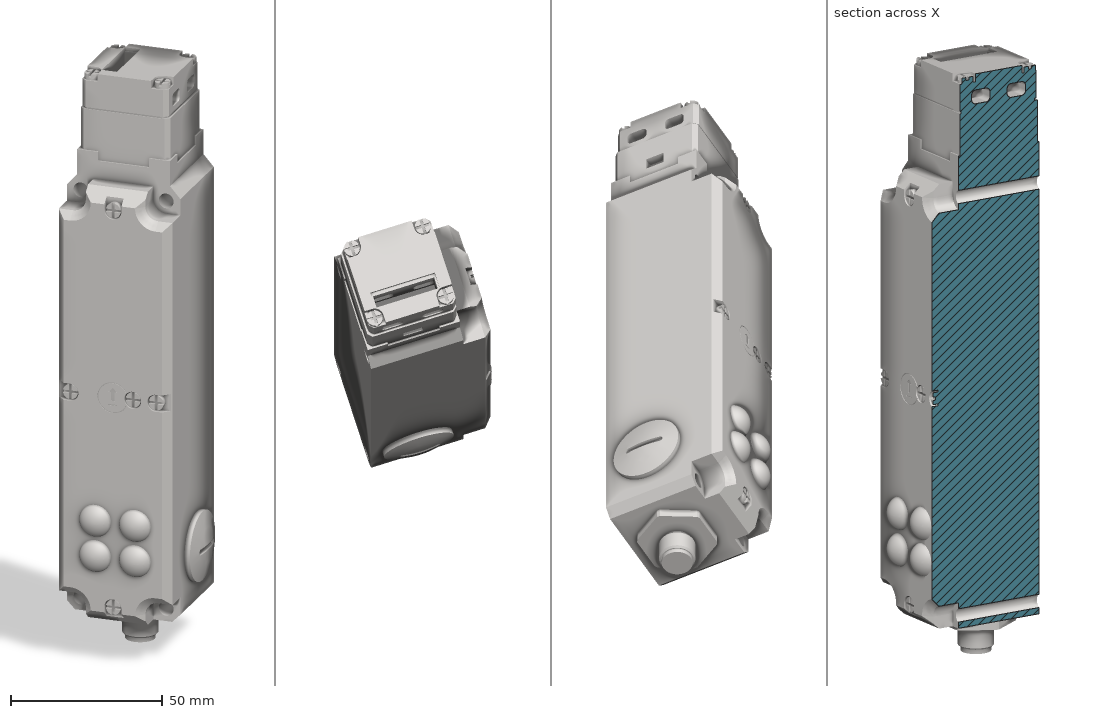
import cadquery as cq
import math


body_half_width = 20.0
body_half_depth = 16.0
collar_half_width = 16.35
collar_top = 162.6
shoulder_top = 153.8
shoulder_bottom = 149.7
bottom_chamfer = 2.9

cover_top = 152.9
cover_face_y = -26.3
cover_chamfer = 2.7
end_slope_depth = 5.0
end_slope_height = 4.4

mount_x = 15.0
mount_inset = 4.5
mount_hole_diameter = 5.2
mount_clearance = 4.5
mount_zs = (mount_inset, cover_top - mount_inset)

head_top = 189.8
head_split = 177.0
head_front_y = -15.4
lower_head_half_width = 15.7
lower_head_back_y = 15.5
upper_head_half_width = 15.15
upper_head_back_y = 14.85
head_corner_chamfer = 1.45
split_groove_height = 0.6
split_groove_depth = 0.3
notch_half_width = 9.0
notch_bottom = 159.4

key_slot_left = -9.4
key_slot_width = 4.2
key_slot_length = 21.2
key_slot_depth = 12.0
key_slot_lead_in = 1.2
window_y = 7.0
window_z = 181.8
window_width = 7.1
window_height = 4.6
window_corner_radius = 1.5
latch_z = 165.9
latch_width = 6.6
latch_height = 4.4
latch_depth = 3.0

screw_head_radius = 2.6
screw_recess_radius = 3.0
cover_screw_depth = 2.3
head_screw_depth = 2.7
screw_head_height = 2.0
screw_slot_width = 1.0
screw_slot_depth = 1.0
head_screw_x = 12.4
head_screw_y = 12.3
cover_end_screw_inset = 6.4
cover_mid_screw_z = 80.6
cover_side_screw_x = 15.1
lock_screw_x = 7.0
head_screw_notch_reach = 4.0
cover_screw_notch_reach = body_half_width - cover_side_screw_x

dial_radius = 5.4
dial_line_width = 0.3
dial_depth = 0.2
arrow_tip = 3.4
arrow_head_base = 1.9
arrow_head_half_width = 1.5
arrow_stem_half_width = 0.65
arrow_stem_foot = -1.2
arrow_bar_z = -2.6
arrow_bar_width = 0.4

lamp_radius = 5.6
lamp_height = 3.66
lamp_foot = 1.0
lamp_xs = (-6.2, 7.8)
lamp_zs = (23.9, 36.35)

plug_z = 21.8
plug_radius = 12.1
plug_rim = 1.9
plug_height = 4.0
plug_slot_length = 13.8
plug_slot_width = 2.0
plug_slot_depth = 1.5

hex_corner_diameter = 27.0
hex_height = 3.1
hex_rounding_diameter = 26.4
neck_radius = 5.1
nut_top = -4.2
nut_bottom = -11.6
nut_radius = 6.05
nut_chamfer = 0.6
connector_bottom = -13.2


def block(x_range, y_range, z_range):
    """Box given by its limits along each axis."""
    (x0, x1), (y0, y1), (z0, z1) = x_range, y_range, z_range
    return cq.Workplane("XY").box(x1 - x0, y1 - y0, z1 - z0, centered=False).translate((x0, y0, z0))


def front_plane(y):
    """Plane facing -Y at the given Y, with local axes X and Z."""
    return cq.Workplane("XZ", origin=(0, y, 0))


def make_housing():
    points = [
        (body_half_width - bottom_chamfer, 0),
        (body_half_width, bottom_chamfer),
        (body_half_width, shoulder_bottom),
        (collar_half_width, shoulder_top),
        (collar_half_width, collar_top),
    ]
    mirrored = [(-x, z) for x, z in reversed(points)]
    housing = front_plane(body_half_depth).polyline(points + mirrored).close().extrude(2 * body_half_depth)

    notch_z = (notch_bottom, collar_top)
    notch_span = (-notch_half_width, notch_half_width)
    across_x = block((-body_half_width, body_half_width), notch_span, notch_z)
    across_y = block(notch_span, (-body_half_depth, body_half_depth), notch_z)
    return housing.cut(across_x).cut(across_y)


def make_cover():
    base_y = -body_half_depth
    thickness = base_y - cover_face_y
    outline = front_plane(base_y).rect(2 * body_half_width, cover_top, centered=(True, False))
    cover = outline.extrude(thickness)

    for z, end in zip(mount_zs, (-1, 1)):
        for side in (-1, 1):
            reach = 2 * mount_clearance
            x = side * mount_x
            clearance = (
                front_plane(base_y)
                .center(x, z)
                .circle(mount_clearance)
                .extrude(thickness)
            )
            sideways = (
                front_plane(base_y)
                .center(x + side * reach / 2, z)
                .rect(reach, 2 * mount_clearance)
                .extrude(thickness)
            )
            endways = (
                front_plane(base_y)
                .center(x + side * (reach - mount_clearance) / 2, z + end * reach / 2)
                .rect(reach + mount_clearance, reach)
                .extrude(thickness)
            )
            cover = cover.cut(clearance.union(sideways).union(endways))
    cover = cover.faces("<Y").edges().chamfer(cover_chamfer)

    slope_start_y = cover_face_y + end_slope_depth
    for end_z, inward in ((0, 1), (cover_top, -1)):
        wedge = (
            cq.Workplane("YZ", origin=(-body_half_width, 0, 0))
            .moveTo(slope_start_y, end_z)
            .lineTo(cover_face_y, end_z + inward * end_slope_height)
            .lineTo(cover_face_y, end_z)
            .close()
            .extrude(2 * body_half_width)
        )
        cover = cover.cut(wedge)
    return cover


def make_head():
    lower = block(
        (-lower_head_half_width, lower_head_half_width),
        (head_front_y, lower_head_back_y),
        (notch_bottom, head_split),
    )
    upper = block(
        (-upper_head_half_width, upper_head_half_width),
        (head_front_y, upper_head_back_y),
        (head_split, head_top),
    )
    lower = lower.edges("|Z").chamfer(head_corner_chamfer)
    upper = upper.edges("|Z").chamfer(head_corner_chamfer)

    joint = block(
        (-body_half_width, body_half_width),
        (-body_half_depth, body_half_depth),
        (head_split, head_split + split_groove_height),
    )
    core = block(
        (split_groove_depth - upper_head_half_width, upper_head_half_width - split_groove_depth),
        (head_front_y + split_groove_depth, upper_head_back_y - split_groove_depth),
        (head_split, head_split + split_groove_height),
    )
    core = core.edges("|Z").chamfer(head_corner_chamfer)
    upper = upper.cut(joint.cut(core))
    return lower.union(upper)


def cut_head_openings(part):
    key_slot = block(
        (key_slot_left, key_slot_left + key_slot_width),
        (-key_slot_length / 2, key_slot_length / 2),
        (head_top - key_slot_depth, head_top),
    )
    lead_in = (
        cq.Workplane("XY", origin=(0, 0, head_top))
        .center(key_slot_left + (key_slot_width + key_slot_lead_in) / 2, 0)
        .rect(key_slot_width + key_slot_lead_in, key_slot_length + key_slot_lead_in)
        .extrude(-key_slot_lead_in)
    )
    windows = (
        cq.Workplane("YZ", origin=(-body_half_width, 0, 0))
        .pushPoints([(-window_y, window_z), (window_y, window_z)])
        .rect(window_width, window_height)
        .extrude(2 * body_half_width)
        .edges("|X")
        .fillet(window_corner_radius)
    )
    latch_pocket = block(
        (-lower_head_half_width, latch_depth - lower_head_half_width),
        (-latch_width / 2, latch_width / 2),
        (latch_z - latch_height / 2, latch_z + latch_height / 2),
    )
    return part.cut(key_slot).cut(lead_in).cut(windows).cut(latch_pocket)


def add_screw(part, plane, depth, open_directions, reach):
    """Sink a cross-slotted screw at the plane's origin, with the recess opened along local directions."""
    floor = plane.workplane(offset=-depth)
    recess = floor.circle(screw_recess_radius).extrude(depth)
    for along, across in open_directions:
        width = reach if along else 2 * screw_recess_radius
        height = reach if across else 2 * screw_recess_radius
        opening = floor.center(along * reach / 2, across * reach / 2).rect(width, height)
        recess = recess.union(opening.extrude(depth))
    head = floor.circle(screw_head_radius).extrude(screw_head_height)
    slot_floor = plane.workplane(offset=screw_head_height - depth - screw_slot_depth)
    slot_length = 2 * screw_head_radius
    for width, height in ((slot_length, screw_slot_width), (screw_slot_width, slot_length)):
        head = head.cut(slot_floor.rect(width, height).extrude(screw_slot_depth))
    return part.cut(recess).union(head)


def add_head_screws(part):
    for side_x in (-1, 1):
        for side_y in (-1, 1):
            plane = cq.Workplane("XY", origin=(side_x * head_screw_x, side_y * head_screw_y, head_top))
            openings = ((side_x, 0), (0, side_y))
            part = add_screw(part, plane, head_screw_depth, openings, head_screw_notch_reach)
    return part


def add_cover_screws(part):
    screws = (
        (0, cover_end_screw_inset, ((0, -1),)),
        (0, cover_top - cover_end_screw_inset, ((0, 1),)),
        (-cover_side_screw_x, cover_mid_screw_z, ((-1, 0),)),
        (cover_side_screw_x, cover_mid_screw_z, ((1, 0),)),
        (lock_screw_x, cover_mid_screw_z, ()),
    )
    for x, z, openings in screws:
        plane = cq.Workplane("XZ", origin=(x, cover_face_y, z))
        part = add_screw(part, plane, cover_screw_depth, openings, cover_screw_notch_reach)
    return part


def cut_dial(part):
    """Engrave the dial ring with its arrow and foot bar."""
    dial_plane = front_plane(cover_face_y).center(0, cover_mid_screw_z)
    ring = dial_plane.circle(dial_radius).circle(dial_radius - dial_line_width).extrude(-dial_depth)
    arrow_half = [
        (arrow_stem_half_width, arrow_stem_foot),
        (arrow_stem_half_width, arrow_head_base),
        (arrow_head_half_width, arrow_head_base),
    ]
    arrow_points = arrow_half + [(0, arrow_tip)] + [(-x, z) for x, z in reversed(arrow_half)]
    arrow = dial_plane.polyline(arrow_points).close().extrude(-dial_depth)
    bar = dial_plane.center(0, arrow_bar_z).rect(2 * arrow_head_half_width, arrow_bar_width)
    return part.cut(ring).cut(arrow).cut(bar.extrude(-dial_depth))


def make_button(radius, rim, height):
    """Round button along +Z: a straight rim under a spherical cap."""
    dome_height = height - rim
    dome_radius = (radius ** 2 + dome_height ** 2) / (2 * dome_height)
    mid_radius = radius / 2
    mid_height = height - dome_radius + math.sqrt(dome_radius ** 2 - mid_radius ** 2)
    profile = (
        cq.Workplane("XZ")
        .lineTo(radius, 0)
        .lineTo(radius, rim)
        .threePointArc((mid_radius, mid_height), (0, height))
        .close()
    )
    return profile.revolve(360, (0, 0, 0), (0, 1, 0))


def make_lamp(x, z):
    """Domed lamp on the cover face, its foot sunk into the cover."""
    lamp = make_button(lamp_radius, lamp_foot, lamp_height + lamp_foot)
    lamp = lamp.rotate((0, 0, 0), (1, 0, 0), 90)
    return lamp.translate((x, cover_face_y + lamp_foot, z))


def make_plug(side):
    """Domed blanking plug with a screwdriver slot on one side wall."""
    plug = make_button(plug_radius, plug_rim, plug_height)
    plug = plug.rotate((0, 0, 0), (0, 1, 0), 90)
    slot = (
        cq.Workplane("YZ", origin=(plug_height - plug_slot_depth, 0, 0))
        .slot2D(plug_slot_length, plug_slot_width)
        .extrude(plug_slot_depth)
    )
    plug = plug.cut(slot)
    if side < 0:
        plug = plug.mirror("YZ")
    return plug.translate((side * body_half_width, 0, plug_z))


def make_connector():
    hex_flange = cq.Workplane("XY").polygon(6, hex_corner_diameter).extrude(-hex_height)
    corner_rounding = cq.Workplane("XY").circle(hex_rounding_diameter / 2).extrude(-hex_height)
    hex_flange = hex_flange.intersect(corner_rounding)
    neck = cq.Workplane("XY").circle(neck_radius).extrude(connector_bottom)
    nut = (
        cq.Workplane("XY", origin=(0, 0, nut_bottom))
        .circle(nut_radius)
        .extrude(nut_top - nut_bottom)
        .edges()
        .chamfer(nut_chamfer)
    )
    return hex_flange.union(neck).union(nut)


def cut_mounting_holes(part):
    points = [(side * mount_x, z) for side in (-1, 1) for z in mount_zs]
    holes = (
        front_plane(body_half_depth)
        .pushPoints(points)
        .circle(mount_hole_diameter / 2)
        .extrude(2 * body_half_depth)
    )
    return part.cut(holes)


result = make_housing().union(make_cover()).union(make_head())
result = cut_head_openings(result)
result = add_head_screws(result)
result = add_cover_screws(result)
result = cut_dial(result)
result = cut_mounting_holes(result)
for lamp_x in lamp_xs:
    for lamp_z in lamp_zs:
        result = result.union(make_lamp(lamp_x, lamp_z))
for plug_side in (-1, 1):
    result = result.union(make_plug(plug_side))
result = result.union(make_connector())